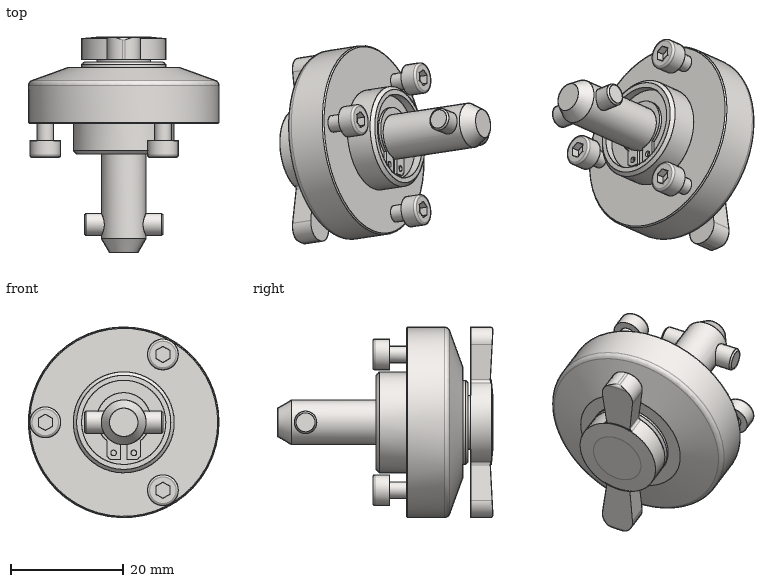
import cadquery as cq
import math


OVERALL_LENGTH = 38.4

FLANGE_R = 34.0 / 2
FLANGE_THICKNESS = 10.05
FLANGE_TOP_R = 9.9
FLANGE_SLOPE = 20.0
FLANGE_EDGE_FILLET = 1.0
FLANGE_FACE_CHAMFER = 0.23

HUB_R = 18.0 / 2
HUB_LENGTH = 5.4
HUB_CHAMFER = 0.6
RECESS_R = 15.0 / 2
RECESS_DEPTH = 1.5
RECESS_FLOOR_Y = RECESS_DEPTH - HUB_LENGTH

SHAFT_R = 8.0 / 2
SHAFT_LENGTH = 22.95
TIP_LENGTH = 2.5
TIP_R = 2.55

PIN_R = 4.0 / 2
PIN_LENGTH = 14.05
PIN_CHAMFER = 0.3
PIN_Y = -17.97

WASHER_R = 15.0 / 2
WASHER_THICKNESS = 0.95
WASHER_CHAMFER = 0.45
NECK_R = 9.6 / 2

HANDLE_BACK_Y = OVERALL_LENGTH - SHAFT_LENGTH
HANDLE_THICKNESS = 4.0
HANDLE_FRONT_Y = HANDLE_BACK_Y - HANDLE_THICKNESS
HANDLE_DISC_R = 15.0 / 2
DISC_FLAT_R = 4.72
DISC_EDGE_DROP = 0.25
ARM_REACH = FLANGE_R
ARM_ROOT_HALF_WIDTH = 1.55
ARM_TAPER = 6.0
ARM_CORNER_FILLET = 2.8
ARM_ROOT_FILLET = 0.58
ARM_RIM_FILLET = 0.5
ARM_DISH_SLOPE = 3.0

SCREW_COUNT = 3
SCREW_CIRCLE_R = 13.98
SCREW_SHANK_R = 3.0 / 2
SCREW_SHANK_LENGTH = 3.0
SCREW_HEAD_R = 5.5 / 2
SCREW_HEAD_HEIGHT = 3.0
SCREW_HEAD_FILLET = 0.4
SOCKET_ACROSS_FLATS = 2.5
SOCKET_DEPTH = 1.5

RING_R = 9.6 / 2
RING_OFFSET = 0.5
RING_THICKNESS = 0.5
RING_GAP = 1.23
LUG_HALF_WIDTH = 2.95
LUG_END_Z = -6.65
LUG_CHAMFER = 0.58
LUG_HOLE_D = 1.0
LUG_HOLE_X = 1.8
LUG_HOLE_Z = -5.45


def plane_at(y, z=0.0, x=0.0):
    """Work plane facing -Y: local x is X, local y is Z, extrusion goes to -Y."""
    return cq.Workplane("XZ", origin=(x, y, z))


def disc(radius, y_front, y_back):
    """Cylinder about the Y axis between two Y positions."""
    return plane_at(y_back).circle(radius).extrude(y_back - y_front)


def turned(profile):
    """Solid of revolution about the Y axis from a closed (radius, y) outline."""
    return profile.close().revolve(360, (0, 0, 0), (0, 1, 0))


def make_flange():
    edge_y = FLANGE_THICKNESS - (FLANGE_R - FLANGE_TOP_R) * math.tan(math.radians(FLANGE_SLOPE))
    profile = (
        cq.Workplane("XY")
        .lineTo(FLANGE_R - FLANGE_FACE_CHAMFER, 0)
        .lineTo(FLANGE_R, FLANGE_FACE_CHAMFER)
        .lineTo(FLANGE_R, edge_y)
        .lineTo(FLANGE_TOP_R, FLANGE_THICKNESS)
        .lineTo(0, FLANGE_THICKNESS)
    )
    shoulder = cq.selectors.NearestToPointSelector((0, edge_y, 0))
    return turned(profile).edges("%CIRCLE").edges(shoulder).fillet(FLANGE_EDGE_FILLET)


def make_hub():
    hub = disc(HUB_R, -HUB_LENGTH, 0).faces("<Y").chamfer(HUB_CHAMFER)
    return hub.cut(disc(RECESS_R, -HUB_LENGTH, RECESS_FLOOR_Y))


def make_shaft():
    profile = (
        cq.Workplane("XY")
        .lineTo(SHAFT_R, 0)
        .lineTo(SHAFT_R, TIP_LENGTH - SHAFT_LENGTH)
        .lineTo(TIP_R, -SHAFT_LENGTH)
        .lineTo(0, -SHAFT_LENGTH)
    )
    return turned(profile)


def make_cross_pin():
    pin = cq.Workplane("YZ", origin=(0, PIN_Y, 0)).circle(PIN_R).extrude(PIN_LENGTH / 2, both=True)
    return pin.faces("<X or >X").chamfer(PIN_CHAMFER)


def make_washer():
    top_y = FLANGE_THICKNESS + WASHER_THICKNESS
    washer = disc(WASHER_R, FLANGE_THICKNESS, top_y).faces(">Y").chamfer(WASHER_CHAMFER)
    return washer.union(disc(NECK_R, FLANGE_THICKNESS, HANDLE_FRONT_Y))


def make_arm():
    """Flared arm toward +Z with a rounded end."""
    spread = math.tan(math.radians(ARM_TAPER))
    blank_end_z = 1.1 * ARM_REACH
    end_half_width = ARM_ROOT_HALF_WIDTH + blank_end_z * spread
    blank = (
        plane_at(HANDLE_BACK_Y)
        .moveTo(-ARM_ROOT_HALF_WIDTH, 0)
        .lineTo(-end_half_width, blank_end_z)
        .lineTo(end_half_width, blank_end_z)
        .lineTo(ARM_ROOT_HALF_WIDTH, 0)
        .close()
        .extrude(HANDLE_THICKNESS)
    )
    arm = blank.intersect(disc(ARM_REACH, HANDLE_FRONT_Y, HANDLE_BACK_Y))
    return arm.edges("|Y").edges(">Z").fillet(ARM_CORNER_FILLET)


def make_handle_envelope():
    """Turned limit of the handle: bevelled disc, sunken arm backs and a rounded rim."""
    rim_flat_r = ARM_REACH - ARM_RIM_FILLET
    dish_depth = (rim_flat_r - HANDLE_DISC_R) * math.tan(math.radians(ARM_DISH_SLOPE))
    diagonal = ARM_RIM_FILLET * math.sqrt(0.5)
    rim_center_y = HANDLE_BACK_Y - ARM_RIM_FILLET
    return turned(
        cq.Workplane("XY")
        .moveTo(0, HANDLE_FRONT_Y)
        .lineTo(ARM_REACH, HANDLE_FRONT_Y)
        .lineTo(ARM_REACH, rim_center_y)
        .threePointArc((rim_flat_r + diagonal, rim_center_y + diagonal), (rim_flat_r, HANDLE_BACK_Y))
        .lineTo(HANDLE_DISC_R, HANDLE_BACK_Y - dish_depth)
        .lineTo(HANDLE_DISC_R, HANDLE_BACK_Y - DISC_EDGE_DROP)
        .lineTo(DISC_FLAT_R, HANDLE_BACK_Y)
        .lineTo(0, HANDLE_BACK_Y)
    )


def make_handle():
    arm = make_arm()
    outline = disc(HANDLE_DISC_R, HANDLE_FRONT_Y, HANDLE_BACK_Y).union(arm).union(arm.mirror("XY"))
    root_corners = cq.selectors.BoxSelector(
        (-ARM_CORNER_FILLET, HANDLE_FRONT_Y, -HANDLE_DISC_R),
        (ARM_CORNER_FILLET, HANDLE_BACK_Y, HANDLE_DISC_R),
    )
    outline = outline.edges("|Y").edges(root_corners).fillet(ARM_ROOT_FILLET)
    return outline.intersect(make_handle_envelope())


def make_screw(x, z):
    head_y = -SCREW_SHANK_LENGTH
    end_y = head_y - SCREW_HEAD_HEIGHT
    shank = plane_at(0, z, x).circle(SCREW_SHANK_R).extrude(SCREW_SHANK_LENGTH)
    head = plane_at(head_y, z, x).circle(SCREW_HEAD_R).extrude(SCREW_HEAD_HEIGHT)
    head = head.faces("<Y").edges().fillet(SCREW_HEAD_FILLET)
    across_corners = SOCKET_ACROSS_FLATS / math.cos(math.radians(30))
    socket = (
        plane_at(end_y, z, x)
        .transformed(rotate=(0, 0, 90))
        .polygon(6, across_corners)
        .extrude(-SOCKET_DEPTH)
    )
    return shank.union(head).cut(socket)


def make_retaining_ring():
    """Eccentric ring with two drilled lugs either side of a gap."""
    lug_height = -LUG_END_Z
    ring = plane_at(RECESS_FLOOR_Y, RING_OFFSET).circle(RING_R).extrude(RING_THICKNESS)
    lugs = (
        plane_at(RECESS_FLOOR_Y, LUG_END_Z / 2)
        .rect(2 * LUG_HALF_WIDTH, lug_height)
        .extrude(RING_THICKNESS)
        .edges("|Y and <Z")
        .chamfer(LUG_CHAMFER)
    )
    gap = plane_at(RECESS_FLOOR_Y, LUG_END_Z / 2).rect(RING_GAP, lug_height).extrude(RING_THICKNESS)
    holes = (
        plane_at(RECESS_FLOOR_Y)
        .pushPoints([(-LUG_HOLE_X, LUG_HOLE_Z), (LUG_HOLE_X, LUG_HOLE_Z)])
        .circle(LUG_HOLE_D / 2)
        .extrude(RING_THICKNESS)
    )
    return ring.union(lugs).cut(gap).cut(holes)


result = make_flange().union(make_hub())
result = result.union(make_retaining_ring()).union(make_shaft()).union(make_cross_pin())
result = result.union(make_washer()).union(make_handle())
for index in range(SCREW_COUNT):
    angle = math.radians(180 + index * 360 / SCREW_COUNT)
    screw_x = SCREW_CIRCLE_R * math.cos(angle)
    screw_z = SCREW_CIRCLE_R * math.sin(angle)
    result = result.union(make_screw(screw_x, screw_z))